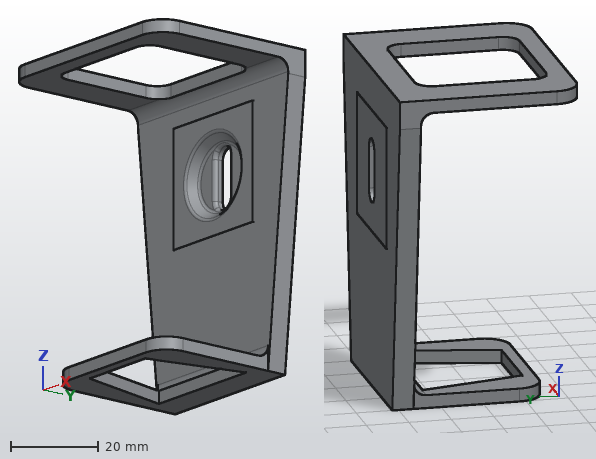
import cadquery as cq

height = 76.0
top_width = 55.0
bottom_width = 40.3
plate_thickness = 5.0
plate_straight_height = 6.5

arm_thickness = 3.1
arm_corner_radius = 6.0
root_fillet_radius = 3.0
top_arm_reach = 43.0
bottom_arm_reach = 36.0

top_opening_width = 34.0
top_opening_depth = 31.0
top_opening_radius = 4.0
top_front_rim = 5.0

bottom_opening_back_width = 31.9
bottom_opening_front_width = 20.4
bottom_opening_depth = 24.9
bottom_front_rim = 3.0

insert_size = 29.0
insert_center_z = 51.5
socket_mouth_radius = 10.3
socket_floor_radius = 8.2
socket_depth = 2.65
slot_straight_length = 9.95
slot_width = 5.25
insert_rounding = 1.0

plate_front_y = -plate_thickness
socket_floor_y = plate_front_y + socket_depth


def make_plate():
    """Upright plate, full width at the top and tapering down to the bottom width."""
    taper_top_z = height - plate_straight_height
    return (
        cq.Workplane("XZ")
        .moveTo(-bottom_width / 2, 0)
        .lineTo(bottom_width / 2, 0)
        .lineTo(top_width / 2, taper_top_z)
        .lineTo(top_width / 2, height)
        .lineTo(-top_width / 2, height)
        .lineTo(-top_width / 2, taper_top_z)
        .close()
        .extrude(plate_thickness)
    )


def make_arm(width, reach, base_z):
    """Flat arm running forward from the plate, with rounded front corners."""
    length = reach - plate_thickness
    return (
        cq.Workplane("XY")
        .box(width, length, arm_thickness, centered=(True, False, False))
        .translate((0, -reach, base_z))
        .edges("|Z and <Y")
        .fillet(arm_corner_radius)
    )


def make_root_fillet(width, arm_face_z, direction):
    """Concave strip between plate and arm; direction is +1 above an arm, -1 below it."""
    radius = root_fillet_radius
    far_y = plate_front_y - radius
    far_z = arm_face_z + direction * radius
    strip = cq.Workplane("YZ").moveTo(plate_front_y, arm_face_z)
    strip = strip.lineTo(far_y, arm_face_z)
    strip = strip.radiusArc((plate_front_y, far_z), -direction * radius)
    return strip.close().extrude(width / 2, both=True)


def make_top_opening():
    """Rounded rectangular opening through the top arm and its root fillet."""
    front_y = -top_arm_reach + top_front_rim
    cut_height = arm_thickness + root_fillet_radius
    return (
        cq.Workplane("XY")
        .box(top_opening_width, top_opening_depth, cut_height, centered=(True, False, False))
        .translate((0, front_y, height - cut_height))
        .edges("|Z")
        .fillet(top_opening_radius)
    )


def make_bottom_opening():
    """Trapezoidal opening through the bottom arm, narrowing toward the front."""
    front_y = -bottom_arm_reach + bottom_front_rim
    back_y = front_y + bottom_opening_depth
    return (
        cq.Workplane("XY")
        .moveTo(-bottom_opening_front_width / 2, front_y)
        .lineTo(bottom_opening_front_width / 2, front_y)
        .lineTo(bottom_opening_back_width / 2, back_y)
        .lineTo(-bottom_opening_back_width / 2, back_y)
        .close()
        .extrude(arm_thickness)
    )


def make_insert_block():
    """Square block through the full thickness of the plate."""
    return (
        cq.Workplane("XY")
        .box(insert_size, plate_thickness, insert_size)
        .translate((0, -plate_thickness / 2, insert_center_z))
    )


def make_bracket():
    top_arm_z = height - arm_thickness
    bracket = make_plate()
    bracket = bracket.union(make_arm(top_width, top_arm_reach, top_arm_z))
    bracket = bracket.union(make_arm(bottom_width, bottom_arm_reach, 0))
    bracket = bracket.union(make_root_fillet(top_width, top_arm_z, -1))
    bracket = bracket.union(make_root_fillet(bottom_width, arm_thickness, 1))
    bracket = bracket.cut(make_top_opening())
    bracket = bracket.cut(make_bottom_opening())
    return bracket.cut(make_insert_block())


def make_socket():
    """Conical recess, revolved about an axis along Y through the insert center."""
    return (
        cq.Workplane("XY")
        .moveTo(0, plate_front_y)
        .lineTo(socket_mouth_radius, plate_front_y)
        .lineTo(socket_floor_radius, socket_floor_y)
        .lineTo(0, socket_floor_y)
        .close()
        .revolve(360, (0, 0, 0), (0, 1, 0))
        .translate((0, 0, insert_center_z))
    )


def make_slot():
    """Upright round-ended slot from the socket floor through the back of the insert."""
    return (
        cq.Workplane("XZ", origin=(0, 0, insert_center_z))
        .slot2D(slot_straight_length + slot_width, slot_width, 90)
        .extrude(-socket_floor_y)
    )


def slot_rim_selector():
    """Picks the edges of the slot that lie in the socket floor."""
    half_width = slot_width / 2
    half_length = slot_straight_length / 2 + half_width
    margin = 0.04
    low_corner = (-half_width - margin, socket_floor_y - margin, insert_center_z - half_length - margin)
    high_corner = (half_width + margin, socket_floor_y + margin, insert_center_z + half_length + margin)
    return cq.selectors.BoxSelector(low_corner, high_corner, boundingbox=True)


def make_insert():
    insert = make_insert_block().cut(make_socket())
    insert = insert.edges("%CIRCLE").fillet(insert_rounding)
    insert = insert.cut(make_slot())
    return insert.edges(slot_rim_selector()).fillet(insert_rounding)


bracket = make_bracket()
insert = make_insert()

result = cq.Compound.makeCompound([bracket.val(), insert.val()])